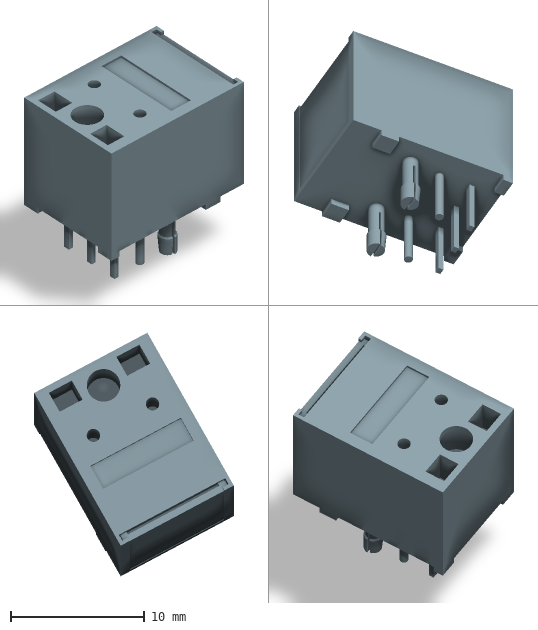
import cadquery as cq

WIDTH = 9.7
DEPTH = 13.5
HEIGHT = 13.85

BODY_HEIGHT = 9.47
UNDERSIDE_Z = HEIGHT - BODY_HEIGHT
PITCH = 2.53

FOOT_HEIGHT = 0.51
FOOT_SIDE = 1.5
FRONT_FOOT_LENGTH = 0.8
REAR_FOOT_Y = 9.63

CAVITY_DEPTH = 2.77
ROUND_CAVITY_DIAMETER = 2.52
ROUND_CAVITY_Y = 2.0
SCREW_HOLE_DIAMETER = 1.01
SCREW_HOLE_Y = 5.03
BOX_CAVITY_WIDTH = 1.97
BOX_CAVITY_LENGTH = 1.68
BOX_CAVITY_Y = 0.53
SIDE_MARGIN = 0.97

LABEL_Y = 7.0
LABEL_LENGTH = 2.01
LABEL_DEPTH = 0.2

SEAT_MARGIN = 0.29
SEAT_FRONT = 0.8
SEAT_REAR = 0.29
SEAT_DEPTH = 0.3
SEAT_CLEARANCE = 0.11
REAR_OPENING_MARGIN = 0.8
FINGER_NOTCH_MARGIN = 0.93
FINGER_NOTCH_LENGTH = 0.24
SHUTTER_INSET = 0.05
SHUTTER_SILL = 0.5

FLAT_PIN_WIDTH = 0.53
FLAT_PIN_THICKNESS = 0.4
FLAT_PIN_Y = 2.4
ROUND_PIN_DIAMETER = 0.66

POST_X = 2.78
POST_Y = 7.6
SHAFT_RADIUS = 0.62
HEAD_RADIUS = 0.75
TIP_RADIUS = 0.64
TAPER_TOP_Z = 1.33
HEAD_EDGE_Z = 1.55
HEAD_TOP_Z = 1.66
POST_SLOT_WIDTH = 0.18
POST_SLOT_TOP_Z = UNDERSIDE_Z - 0.86


def block(x_start, x_end, y_start, y_end, z_start, z_end):
    """Axis-aligned box given by its limits."""
    size = (x_end - x_start, y_end - y_start, z_end - z_start)
    return cq.Workplane("XY").box(*size, centered=False).translate((x_start, y_start, z_start))


def centred_block(width, y_start, y_end, z_start, z_end):
    """Box that is symmetric about the X = 0 plane."""
    return block(-width / 2, width / 2, y_start, y_end, z_start, z_end)


def on_both_sides(solid):
    """The solid together with its mirror image across X = 0."""
    return solid.union(solid.mirror("YZ"))


def make_feet():
    """Corner standoffs; the rear ones are as long as they are wide."""
    inner_x = WIDTH / 2 - FOOT_SIDE
    foot_z = UNDERSIDE_Z - FOOT_HEIGHT
    front = block(inner_x, WIDTH / 2, 0, FRONT_FOOT_LENGTH, foot_z, UNDERSIDE_Z)
    rear = block(inner_x, WIDTH / 2, REAR_FOOT_Y, REAR_FOOT_Y + FOOT_SIDE, foot_z, UNDERSIDE_Z)
    return on_both_sides(front).union(on_both_sides(rear))


def make_top_cavities():
    """Blind round hole, two screw holes, two box cavities and the label recess."""
    floor = cq.Workplane("XY").workplane(offset=HEIGHT - CAVITY_DEPTH)
    round_cavity = floor.center(0, ROUND_CAVITY_Y).circle(ROUND_CAVITY_DIAMETER / 2).extrude(CAVITY_DEPTH)
    screw_hole = floor.center(PITCH, SCREW_HOLE_Y).circle(SCREW_HOLE_DIAMETER / 2).extrude(CAVITY_DEPTH)
    outer_x = WIDTH / 2 - SIDE_MARGIN
    box_cavity = block(
        outer_x - BOX_CAVITY_WIDTH, outer_x,
        BOX_CAVITY_Y, BOX_CAVITY_Y + BOX_CAVITY_LENGTH,
        HEIGHT - CAVITY_DEPTH, HEIGHT,
    )
    label = centred_block(2 * outer_x, LABEL_Y, LABEL_Y + LABEL_LENGTH, HEIGHT - LABEL_DEPTH, HEIGHT)
    return round_cavity.union(on_both_sides(screw_hole)).union(on_both_sides(box_cavity)).union(label)


def make_shutter_seat():
    """T-shaped recess open to the rear, with end clearances and a finger notch one step deeper."""
    seat_z = HEIGHT - SEAT_DEPTH
    step_z = seat_z - SEAT_DEPTH
    front_y = DEPTH - SEAT_FRONT
    rear_y = DEPTH - SEAT_REAR
    seat_end_x = WIDTH / 2 - SEAT_MARGIN
    opening_width = WIDTH - 2 * REAR_OPENING_MARGIN
    notch_width = WIDTH - 2 * FINGER_NOTCH_MARGIN

    seat = centred_block(2 * seat_end_x, front_y, rear_y, seat_z, HEIGHT)
    opening = centred_block(opening_width, front_y, DEPTH, seat_z, HEIGHT)
    end_gap = block(seat_end_x - SEAT_CLEARANCE, seat_end_x, front_y, rear_y, step_z, HEIGHT)
    finger_notch = centred_block(notch_width, front_y, front_y + FINGER_NOTCH_LENGTH, step_z, HEIGHT)
    shutter_face = centred_block(
        opening_width, DEPTH - SHUTTER_INSET, DEPTH, UNDERSIDE_Z + SHUTTER_SILL, HEIGHT
    )
    return seat.union(opening).union(on_both_sides(end_gap)).union(finger_notch).union(shutter_face)


def make_contact_pins():
    """Front row of three flat pins and a second row of two round pins."""
    pins = cq.Workplane("XY").pushPoints([(-PITCH, FLAT_PIN_Y), (0, FLAT_PIN_Y), (PITCH, FLAT_PIN_Y)])
    flat_pins = pins.rect(FLAT_PIN_WIDTH, FLAT_PIN_THICKNESS).extrude(UNDERSIDE_Z)
    round_pin = cq.Workplane("XY").center(PITCH, SCREW_HOLE_Y).circle(ROUND_PIN_DIAMETER / 2)
    return flat_pins.union(on_both_sides(round_pin.extrude(UNDERSIDE_Z)))


def make_posts():
    """Slotted posts with a chamfered head; the front half of the head tapers to the tip."""
    def rear_half_post(tip_radius):
        """Unslotted half turned about the post axis, on its +Y side."""
        return (
            cq.Workplane("XZ")
            .polyline([
                (0, 0),
                (tip_radius, 0),
                (HEAD_RADIUS, TAPER_TOP_Z),
                (HEAD_RADIUS, HEAD_EDGE_Z),
                (SHAFT_RADIUS, HEAD_TOP_Z),
                (SHAFT_RADIUS, UNDERSIDE_Z),
                (0, UNDERSIDE_Z),
            ])
            .close()
            .revolve(180, (0, 0, 0), (0, 1, 0))
        )

    rear_half = rear_half_post(HEAD_RADIUS)
    front_half = rear_half_post(TIP_RADIUS).rotate((0, 0, 0), (0, 0, 1), 180)
    slot_reach = 2 * HEAD_RADIUS
    slot = centred_block(slot_reach, -POST_SLOT_WIDTH / 2, POST_SLOT_WIDTH / 2, 0, POST_SLOT_TOP_Z)
    post = rear_half.union(front_half).cut(slot).translate((POST_X, POST_Y, 0))
    return on_both_sides(post)


housing = centred_block(WIDTH, 0, DEPTH, UNDERSIDE_Z, HEIGHT).union(make_feet())
housing = housing.cut(make_top_cavities()).cut(make_shutter_seat())

result = housing.union(make_contact_pins()).union(make_posts())